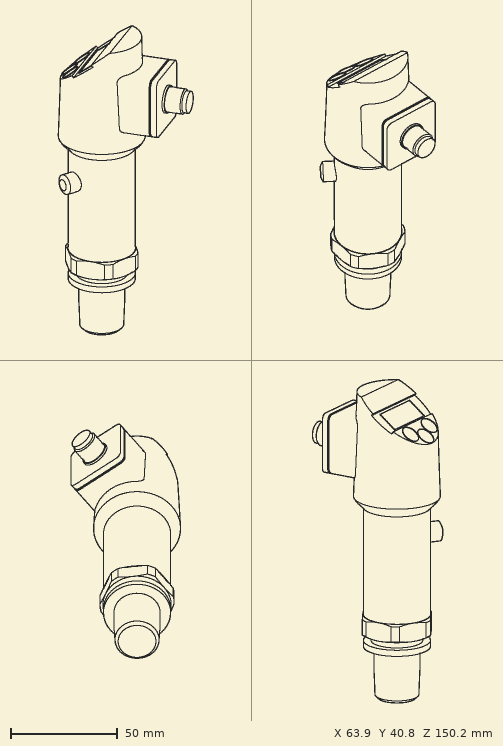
import cadquery as cq
import math

total_height = 150.2

shaft_radius = 10.8
shaft_tip_radius = 10.4
shaft_taper_start = 13.4
tip_chamfer = 1.5

washer_bottom = 25.0
washer_top = 28.1
neck_radius = 12.2

hex_sides = 6
hex_bottom = 31.8
hex_top = 40.8
hex_across_flats = 32.0
hex_corner_radius = 17.4
hex_chamfer_height = 0.8

body_radius = 15.8
washer_radius = body_radius
collar_bottom = 93.5
collar_step = 97.1
collar_step_radius = 19.4
head_bottom = 98.8
head_bottom_radius = 20.4
head_top_radius = 18.8

slope_edge_x = 9.5
slope_angle = 37.3

channel_start = 10.2
channel_end = 22.8
channel_depth = 1.2
window_start = 11.4
window_end = 21.6
window_width = 25.8
window_depth = 0.3
button_radius = 4.4
button_height = 0.3
button_middle_distance = 31.8
button_side_distance = 27.8
button_spacing = 8.1

box_size = 29.1
box_center_z = 122.8
box_end_x = 32.1
box_corner_radius = 2.9
seam_x = 28.5
seam_width = 0.6
seam_depth = 0.3

plug_flange_radius = 6.6
plug_flange_end = 33.2
plug_radius = 6.0
plug_shoulder = 40.8
plug_tip_radius = 5.3
plug_tip_start = 41.5
plug_end = 43.5

knob_angle = 234.0
knob_center_z = 79.3
knob_radius = 4.8
knob_cap_radius = 2.7
knob_edge_distance = 21.2
knob_cap_distance = 22.2

cut_margin = 30.0
slope_cut_length = 45.0


def round_about_z(profile):
    """Solid of revolution about the Z axis from (radius, height) points."""
    return cq.Workplane("XZ").polyline(profile).close().revolve(360, (0, 0), (0, 1))


def round_about_x(profile, axis_z):
    """Solid of revolution about a line along X at height axis_z, from (x, radius) points."""
    section = cq.Workplane("XZ", origin=(0, 0, axis_z))
    return section.polyline(profile).close().revolve(360, (0, 0), (1, 0))


def revolved_stem():
    """Everything that is round about the main axis, from the tip to the flat top."""
    profile = [
        (0, 0),
        (shaft_tip_radius - tip_chamfer, 0),
        (shaft_tip_radius, tip_chamfer),
        (shaft_radius, shaft_taper_start),
        (shaft_radius, washer_bottom),
        (washer_radius, washer_bottom),
        (washer_radius, washer_top),
        (neck_radius, washer_top),
        (neck_radius, hex_bottom),
        (body_radius, hex_bottom),
        (body_radius, collar_bottom),
        (collar_step_radius, collar_step),
        (head_bottom_radius, head_bottom),
        (head_top_radius, total_height),
        (0, total_height),
    ]
    return round_about_z(profile)


def hexagon():
    """Hexagon with corners towards +X and -X, trimmed by a chamfered cylinder."""
    across_corners = hex_across_flats / math.cos(math.pi / hex_sides)
    base = cq.Workplane("XY", origin=(0, 0, hex_bottom))
    prism = base.polygon(hex_sides, across_corners).extrude(hex_top - hex_bottom)
    flat_radius = hex_across_flats / 2
    trim_profile = [
        (0, hex_bottom),
        (flat_radius, hex_bottom),
        (hex_corner_radius, hex_bottom + hex_chamfer_height),
        (hex_corner_radius, hex_top - hex_chamfer_height),
        (flat_radius, hex_top),
        (0, hex_top),
    ]
    return prism.intersect(round_about_z(trim_profile))


def slope_plane():
    """Plane of the sloped face: local x runs up the slope, local y along +Y."""
    angle = math.radians(slope_angle)
    return cq.Plane(
        origin=(slope_edge_x, 0, total_height),
        xDir=(math.cos(angle), 0, math.sin(angle)),
        normal=(-math.sin(angle), 0, math.cos(angle)),
    )


def slope_block(start, end, width, bottom, top):
    """Block on the sloped face, between two distances down the slope and two heights off it."""
    return (
        cq.Workplane(slope_plane())
        .workplane(offset=bottom)
        .center(-(start + end) / 2, 0)
        .rect(end - start, width)
        .extrude(top - bottom)
    )


def cut_sloped_face(solid):
    """Cut the slope, the channel across it and the display window in the channel floor."""
    full_width = 2 * head_bottom_radius
    solid = solid.cut(slope_block(-cut_margin, slope_cut_length, full_width, 0, cut_margin))
    solid = solid.cut(slope_block(channel_start, channel_end, full_width, -channel_depth, 0))
    window_floor = -channel_depth - window_depth
    return solid.cut(slope_block(window_start, window_end, window_width, window_floor, -channel_depth))


def buttons():
    """Three slightly raised round keys below the display."""
    centers = [
        (-button_side_distance, button_spacing),
        (-button_middle_distance, 0),
        (-button_side_distance, -button_spacing),
    ]
    return (
        cq.Workplane(slope_plane())
        .workplane(offset=-button_height)
        .pushPoints(centers)
        .circle(button_radius)
        .extrude(2 * button_height)
    )


def connector_box():
    """Rounded square box with a shallow seam around its cover."""
    section = cq.Workplane("YZ", origin=(0, 0, box_center_z))
    box = section.rect(box_size, box_size).extrude(box_end_x).edges("|X").fillet(box_corner_radius)
    core_size = box_size - 2 * seam_depth
    seam_section = section.workplane(offset=seam_x)
    core = seam_section.rect(core_size, core_size).extrude(seam_width)
    core = core.edges("|X").fillet(box_corner_radius - seam_depth)
    seam = seam_section.rect(box_size, box_size).extrude(seam_width).cut(core)
    return box.cut(seam)


def plug():
    """Stepped round plug along +X."""
    profile = [
        (box_end_x, 0),
        (box_end_x, plug_flange_radius),
        (plug_flange_end, plug_flange_radius),
        (plug_flange_end, plug_radius),
        (plug_shoulder, plug_radius),
        (plug_tip_start, plug_tip_radius),
        (plug_end, plug_tip_radius),
        (plug_end, 0),
    ]
    return round_about_x(profile, box_center_z)


def knob():
    """Vent knob with a conical end, drawn along +X and turned to its angle."""
    profile = [
        (0, 0),
        (0, knob_radius),
        (knob_edge_distance, knob_radius),
        (knob_cap_distance, knob_cap_radius),
        (knob_cap_distance, 0),
    ]
    return round_about_x(profile, knob_center_z).rotate((0, 0, 0), (0, 0, 1), knob_angle)


stem = cut_sloped_face(revolved_stem()).union(hexagon())
result = stem.union(buttons()).union(connector_box()).union(plug()).union(knob())